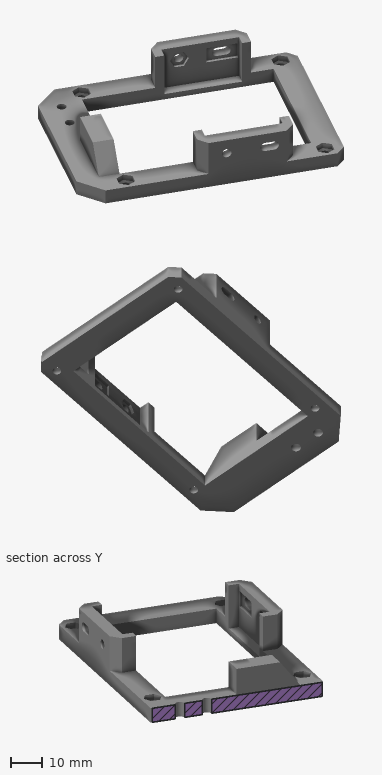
import cadquery as cq

width = 60.0
length = 88.0
thickness = 5.0
back_chamfer = 3.0
front_chamfer = 7.6
back_y = length / 2
front_y = -length / 2

window_width = 44.0
back_rail = 9.5
front_rail = 14.5
window_back_y = back_y - back_rail
window_front_y = front_y + front_rail

screw_diameter = 2.8
screw_x = 26.0
screw_back_y = back_y - 6.0
screw_front_y = front_y + 15.5
nut_across_corners = 6.2
nut_pocket_depth = 2.0

rail_hole_diameter = 3.2
rail_hole_y = front_y + 7.1
rail_hole_xs = (-19.9, -10.5)

bracket_top = 17.0
bracket_length = 32.0
bracket_back_y = back_y - 17.0
bracket_y = bracket_back_y - bracket_length / 2
side_rail = (width - window_width) / 2
bracket_chamfer = 3.0

recess_length = 26.0
recess_depth = 3.5
recess_floor = 2.0
recess_wall_x = window_width / 2 + recess_depth

mount_diameter = 3.2
mount_z = 12.0
slot_length = 6.2
slot_y = back_y - 25.6
mount_hole_y = back_y - 39.95
seat_depth = 1.0
slot_seat_length = 10.6
slot_seat_height = 5.5

block_top = 13.9
block_flat_end_x = 15.05
block_depth = front_rail - front_chamfer


def make_frame():
    plate = cq.Workplane("XY").box(width, length, thickness, centered=(True, True, False))
    plate = plate.edges("|Z and >Y").chamfer(back_chamfer)
    plate = plate.edges("|Z and <Y").chamfer(front_chamfer)
    window_length = window_back_y - window_front_y
    window = (
        cq.Workplane("XY")
        .center(0, (window_back_y + window_front_y) / 2)
        .rect(window_width, window_length)
        .extrude(thickness)
    )
    return plate.cut(window)


def make_block():
    return (
        cq.Workplane("XZ", origin=(0, window_front_y, 0))
        .moveTo(0, thickness)
        .lineTo(0, block_top)
        .lineTo(block_flat_end_x, block_top)
        .lineTo(window_width / 2, thickness)
        .close()
        .extrude(block_depth)
    )


def make_bracket():
    """Bracket on the +X rail, before its recess is cut."""
    return (
        cq.Workplane("XY", origin=((window_width + side_rail) / 2, bracket_y, thickness))
        .box(side_rail, bracket_length, bracket_top - thickness, centered=(True, True, False))
        .edges("|Z and >X")
        .chamfer(bracket_chamfer)
    )


def make_bracket_cuts():
    """Recess, seats and mounting openings of the +X bracket."""
    recess = (
        cq.Workplane("XY", origin=(window_width / 2, bracket_y, recess_floor))
        .box(recess_depth, recess_length, bracket_top - recess_floor, centered=(False, True, False))
    )
    wall = cq.Workplane("YZ", origin=(recess_wall_x, 0, mount_z))
    slot = wall.center(slot_y, 0).slot2D(slot_length, mount_diameter).extrude(side_rail)
    hole = wall.center(mount_hole_y, 0).circle(mount_diameter / 2).extrude(side_rail)
    slot_seat = wall.center(slot_y, 0).rect(slot_seat_length, slot_seat_height).extrude(seat_depth)
    hole_seat = wall.center(mount_hole_y, 0).polygon(6, nut_across_corners).extrude(seat_depth)
    return recess.union(slot).union(hole).union(slot_seat).union(hole_seat)


def make_corner_cuts():
    corners = [(x, y) for x in (-screw_x, screw_x) for y in (screw_front_y, screw_back_y)]
    screws = cq.Workplane("XY").pushPoints(corners).circle(screw_diameter / 2).extrude(thickness)
    nuts = (
        cq.Workplane("XY", origin=(0, 0, thickness - nut_pocket_depth))
        .pushPoints(corners)
        .polygon(6, nut_across_corners)
        .extrude(nut_pocket_depth)
    )
    return screws.union(nuts)


def make_rail_holes():
    centres = [(x, rail_hole_y) for x in rail_hole_xs]
    return cq.Workplane("XY").pushPoints(centres).circle(rail_hole_diameter / 2).extrude(thickness)


bracket = make_bracket()
bracket_cuts = make_bracket_cuts()

result = make_frame().union(make_block())
result = result.union(bracket).union(bracket.mirror("YZ"))
result = result.cut(bracket_cuts).cut(bracket_cuts.mirror("YZ"))
result = result.cut(make_corner_cuts()).cut(make_rail_holes())